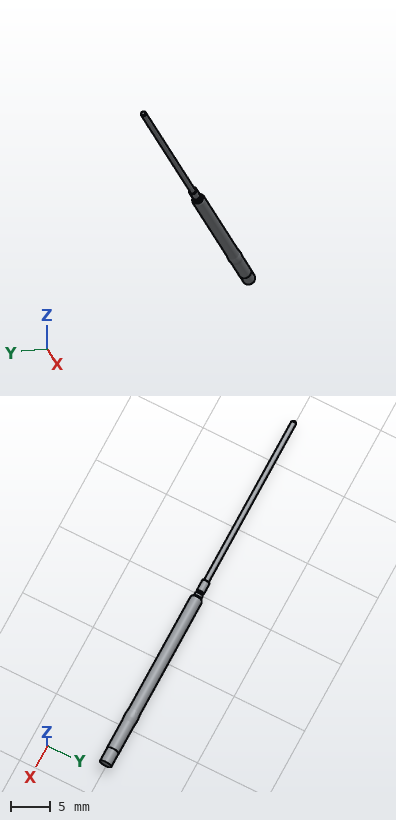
import cadquery as cq
import math

TOTAL_LENGTH = 51.49
COLLAR_START = 24.1
GROOVE_START = 25.66
LIP_START = 26.42
NOSE_START = 26.57
BODY_START = 26.92
BAND_START = 43.65
BAND_END = 45.35
TAIL_STEP = 49.5

TIP_DIAMETER = 0.45
ROD_DIAMETER = 0.71
COLLAR_DIAMETER = 1.05
GROOVE_DIAMETER = 0.95
LIP_DIAMETER = 1.19
NOSE_DIAMETER = 1.4
BODY_DIAMETER = 1.64
BAND_DIAMETER = 1.81
TAIL_DIAMETER = 1.68

TIP_LENGTH = 0.2
GROOVE_WIDTH = 0.35
GROOVE_FLANK = 0.1

tip_radius = TIP_DIAMETER / 2
rod_radius = ROD_DIAMETER / 2
collar_radius = COLLAR_DIAMETER / 2
groove_radius = GROOVE_DIAMETER / 2
lip_radius = LIP_DIAMETER / 2
nose_radius = NOSE_DIAMETER / 2
body_radius = BODY_DIAMETER / 2
band_radius = BAND_DIAMETER / 2
tail_radius = TAIL_DIAMETER / 2


def add_rod(profile):
    """Slender rod with a conical tip."""
    profile = profile.moveTo(0, 0).lineTo(0, tip_radius).lineTo(TIP_LENGTH, rod_radius)
    return profile.lineTo(COLLAR_START, rod_radius)


def add_collar(profile):
    """Collar with a shallow groove that has sloping flanks."""
    groove_end = GROOVE_START + GROOVE_WIDTH
    profile = profile.lineTo(COLLAR_START, collar_radius).lineTo(GROOVE_START, collar_radius)
    profile = profile.lineTo(GROOVE_START + GROOVE_FLANK, groove_radius)
    profile = profile.lineTo(groove_end - GROOVE_FLANK, groove_radius)
    return profile.lineTo(groove_end, collar_radius).lineTo(LIP_START, collar_radius)


def add_body(profile):
    """Straight body behind a small lip and a rounded nose whose arc runs smoothly into the body."""
    nose_length = BODY_START - NOSE_START
    nose_rise = body_radius - nose_radius
    arc_radius = (nose_length**2 + nose_rise**2) / (2 * nose_rise)
    half_sweep = math.asin(nose_length / arc_radius) / 2
    arc_middle = (
        BODY_START - arc_radius * math.sin(half_sweep),
        body_radius - arc_radius * (1 - math.cos(half_sweep)),
    )
    profile = profile.lineTo(LIP_START, lip_radius).lineTo(NOSE_START, lip_radius)
    profile = profile.lineTo(NOSE_START, nose_radius).threePointArc(arc_middle, (BODY_START, body_radius))
    return profile.lineTo(BAND_START, body_radius)


def add_band(profile):
    """Barrel-shaped press band joining the body to the tail."""
    band_middle = (BAND_START + BAND_END) / 2
    return profile.threePointArc((band_middle, band_radius), (BAND_END, tail_radius))


def add_tail(profile):
    """Tail with a slightly reduced end, closed back along the axis."""
    profile = profile.lineTo(TAIL_STEP, tail_radius).lineTo(TAIL_STEP, body_radius)
    return profile.lineTo(TOTAL_LENGTH, body_radius).lineTo(TOTAL_LENGTH, 0).close()


half_section = cq.Workplane("XY")
for add_section in (add_rod, add_collar, add_body, add_band, add_tail):
    half_section = add_section(half_section)

axis_start = (0, 0, 0)
axis_end = (TOTAL_LENGTH, 0, 0)
result = half_section.revolve(360, axis_start, axis_end)